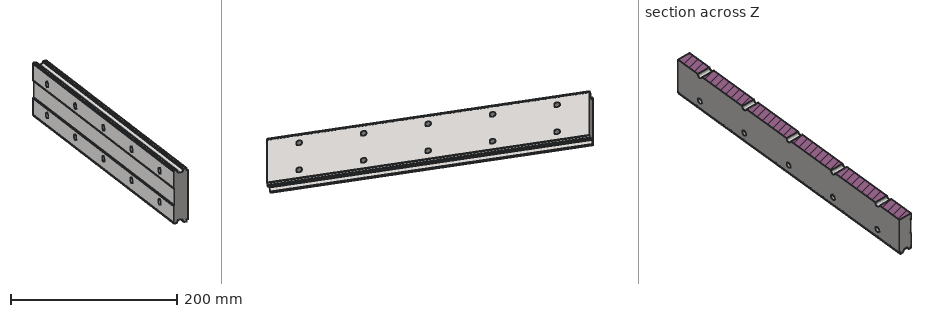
import cadquery as cq
import math

length = 400.0
thickness = 19.0
height = 69.0

front_bevel_depth = 1.0
front_bevel_height = 1.5
back_step_depth = 1.5
back_step_height = 3.0

groove_depth = 4.0
groove_mouth_front = 4.0
groove_floor_front = 6.5
groove_floor_back = 10.0
groove_back_radius = 3.0
groove_mouth_back = 14.0

channel_width = 23.0
channel_depth = 1.0
channel_wall_run = 1.0

hole_diameter = 7.0
hole_pitch = 80.0
holes_per_row = 5
row_spacing = 40.0

front = -thickness / 2
half_height = height / 2


def edge_groove(side):
    """Cutter for the groove on the top (side = 1) or bottom (side = -1).

    The front wall slopes; the back wall curves up from the floor, then
    slopes back to the mouth.
    """
    mouth = side * half_height
    floor = side * (half_height - groove_depth)
    curve_middle = groove_back_radius * math.sin(math.pi / 4)
    curve_start = front + groove_floor_back
    curve_center_z = floor + side * groove_back_radius
    back_wall = curve_start + groove_back_radius
    return (
        cq.Workplane("YZ")
        .moveTo(front + groove_mouth_front, mouth)
        .lineTo(front + groove_floor_front, floor)
        .lineTo(curve_start, floor)
        .threePointArc(
            (curve_start + curve_middle, curve_center_z - side * curve_middle),
            (back_wall, curve_center_z),
        )
        .lineTo(front + groove_mouth_back, mouth)
        .close()
        .extrude(length / 2, both=True)
    )


def edge_bevel(side):
    """Cutter for the steep bevel on the top (side = 1) or bottom (side = -1) front edge."""
    corner = side * half_height
    return (
        cq.Workplane("YZ")
        .polyline([
            (front, corner),
            (front + front_bevel_depth, corner),
            (front, corner - side * front_bevel_height),
        ])
        .close()
        .extrude(length / 2, both=True)
    )


def back_step(side):
    """Cutter for the step on the top (side = 1) or bottom (side = -1) back edge."""
    return (
        cq.Workplane("XY")
        .box(length, back_step_depth, back_step_height)
        .translate((
            0,
            (thickness - back_step_depth) / 2,
            side * (height - back_step_height) / 2,
        ))
    )


def front_channel():
    """Cutter for the shallow channel with sloping walls."""
    mouth = channel_width / 2
    floor = mouth - channel_wall_run
    return (
        cq.Workplane("YZ")
        .polyline([
            (front, -mouth),
            (front + channel_depth, -floor),
            (front + channel_depth, floor),
            (front, mouth),
        ])
        .close()
        .extrude(length / 2, both=True)
    )


rail = cq.Workplane("XY").box(length, thickness, height)

for side in (1, -1):
    rail = rail.cut(edge_groove(side)).cut(edge_bevel(side)).cut(back_step(side))
rail = rail.cut(front_channel())

holes = (
    cq.Workplane("XZ")
    .rarray(hole_pitch, row_spacing, holes_per_row, 2)
    .circle(hole_diameter / 2)
    .extrude(thickness, both=True)
)
result = rail.cut(holes)